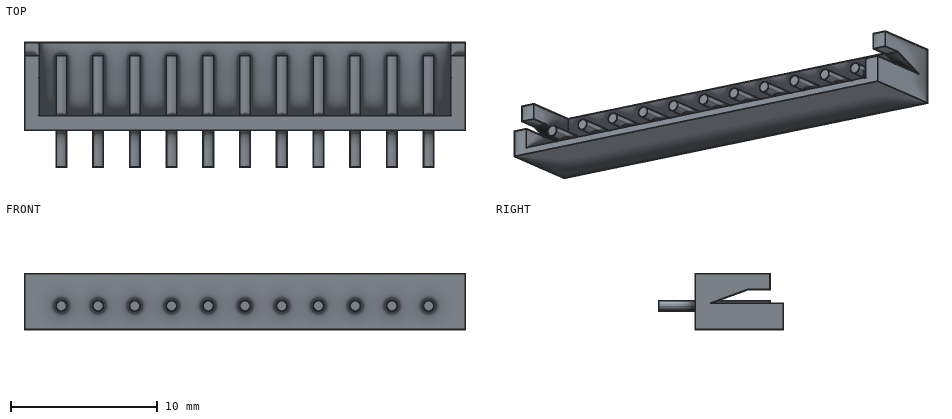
import cadquery as cq

length = 30.0
depth = 6.0
height = 3.8
wall = 1.0
floor_thickness = 0.45

ledge_height = 1.8
notch_top = 2.73
upper_setback = 0.9
notch_flat_length = 1.5
notch_depth = 4.95

pin_count = 11
pin_row_length = 25.0
pin_pitch = pin_row_length / (pin_count - 1)
pin_diameter = 0.72
pin_height = 1.62
pin_projection = 2.5
pin_setback = 0.9


def make_housing():
    """Block with a cavity that leaves the floor, front wall and end walls."""
    block = cq.Workplane("XY").box(length, depth, height, centered=(True, False, False))
    cavity = (
        cq.Workplane("XY")
        .box(length - 2 * wall, depth - wall, height - floor_thickness, centered=(True, False, False))
        .translate((0, wall, floor_thickness))
    )
    return block.cut(cavity)


def make_notch():
    """Tapering notch and arm setback, cut along X through both end walls."""
    setback_y = depth - upper_setback
    return (
        cq.Workplane("YZ", origin=(-length / 2, 0, 0))
        .moveTo(depth, ledge_height)
        .lineTo(depth - notch_depth, ledge_height)
        .lineTo(setback_y - notch_flat_length, notch_top)
        .lineTo(setback_y, notch_top)
        .lineTo(setback_y, height)
        .lineTo(depth, height)
        .close()
        .extrude(length)
    )


def make_pins():
    """Row of pins along X, centred on the housing."""
    first_pin_x = -pin_row_length / 2
    pin_positions = [(first_pin_x + i * pin_pitch, pin_height) for i in range(pin_count)]
    pin_length = pin_projection + depth - pin_setback
    return (
        cq.Workplane("XZ", origin=(0, -pin_projection, 0))
        .pushPoints(pin_positions)
        .circle(pin_diameter / 2)
        .extrude(-pin_length)
    )


notched_housing = make_housing().cut(make_notch())
result = notched_housing.union(make_pins())